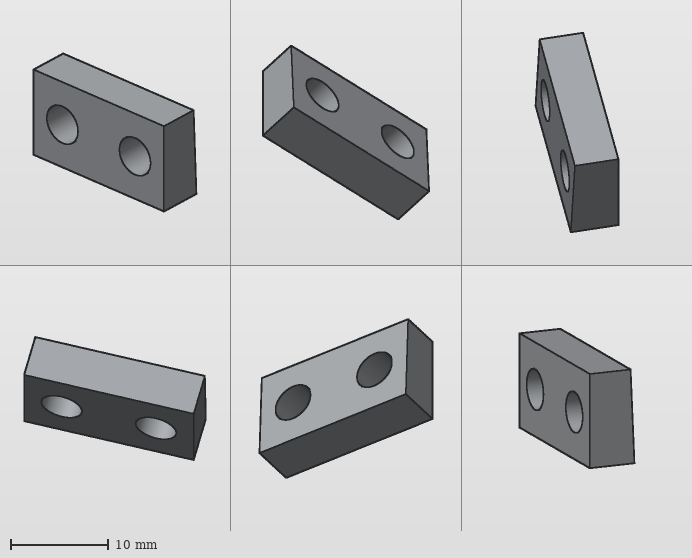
import cadquery as cq

length = 18.0
height = 10.0
base_depth = 5.0
top_depth = 4.57

hole_diameter = 4.3
hole_spacing = 10.0

side_profile = [(0, 0), (base_depth, 0), (top_depth, height), (0, height)]
block = cq.Workplane("YZ").polyline(side_profile).close().extrude(length)

hole_cutters = (
    cq.Workplane("XZ")
    .center(length / 2, height / 2)
    .rarray(hole_spacing, 0.18, 2, 1)
    .circle(hole_diameter / 2)
    .extrude(-base_depth)
)

result = block.cut(hole_cutters)